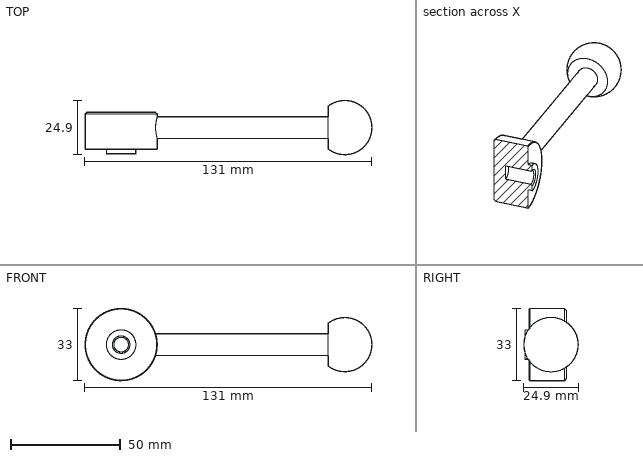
import cadquery as cq

overall_length = 131.0

hub_diameter = 33.0
hub_back_y = 7.1
hub_front_y = -10.0
hub_back_chamfer = 0.9
hub_front_chamfer = 0.3

boss_diameter = 13.5
boss_height = 2.0
bore_diameter = 6.7
bore_chamfer = 0.7
bore_depth = 13.1

rod_diameter = 10.0
ball_diameter = 24.9
ball_flat_offset = 7.6

hub_radius = hub_diameter / 2
ball_radius = ball_diameter / 2
boss_front_y = hub_front_y - boss_height
ball_center_x = overall_length - hub_radius - ball_radius
ball_flat_x = ball_center_x - ball_flat_offset


def cylinder_along_y(diameter, front_y, back_y):
    """Cylinder on the hub axis, from front_y to back_y."""
    plane = cq.Workplane("XZ", origin=(0, front_y, 0))
    return plane.circle(diameter / 2).extrude(front_y - back_y)


def make_hub():
    """Round hub with both rims chamfered, the rear one wider."""
    hub = cylinder_along_y(hub_diameter, hub_front_y, hub_back_y)
    hub = hub.faces(">Y").edges().chamfer(hub_back_chamfer)
    return hub.faces("<Y").edges().chamfer(hub_front_chamfer)


def make_bored_boss(hub):
    """Add the front boss and its blind bore with a chamfered mouth."""
    boss = cylinder_along_y(boss_diameter, boss_front_y, hub_front_y)
    bore = cylinder_along_y(bore_diameter, boss_front_y, boss_front_y + bore_depth)
    bored = hub.union(boss).cut(bore)
    bore_rim = bored.faces("<Y").edges(cq.selectors.RadiusNthSelector(0))
    return bore_rim.chamfer(bore_chamfer)


def make_rod():
    """Rod from the hub's rim into the ball."""
    rod = cq.Workplane("YZ").circle(rod_diameter / 2).extrude(ball_center_x)
    hub_space = cylinder_along_y(hub_diameter, hub_front_y, hub_back_y)
    return rod.cut(hub_space)


def make_ball():
    """Ball knob, revolved about the rod axis, with a flat facing the hub."""
    flat_radius = (ball_radius**2 - ball_flat_offset**2) ** 0.5
    profile = (
        cq.Workplane("XY")
        .moveTo(ball_flat_x, 0)
        .lineTo(ball_flat_x, flat_radius)
        .threePointArc((ball_center_x, ball_radius), (ball_center_x + ball_radius, 0))
        .close()
    )
    return profile.revolve(360, (0, 0, 0), (1, 0, 0))


result = make_bored_boss(make_hub()).union(make_rod()).union(make_ball())